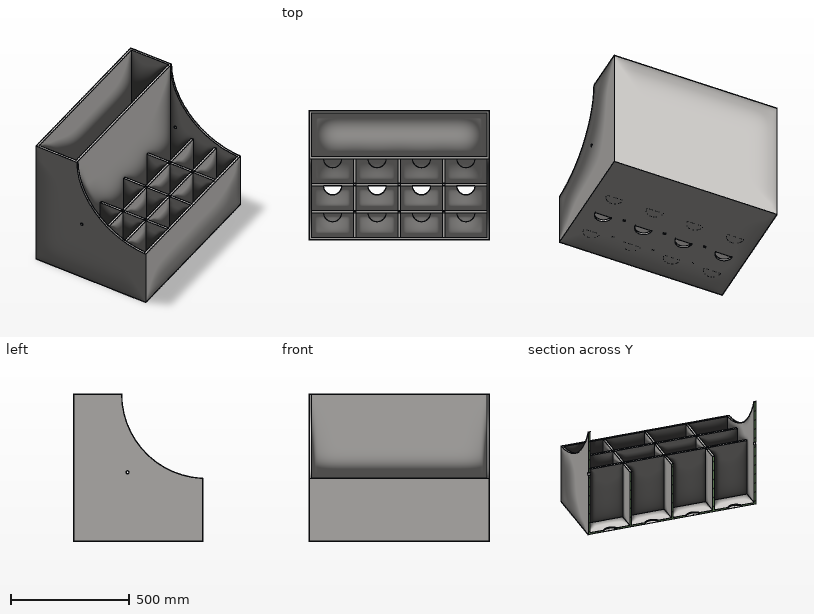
import cadquery as cq
import math

width = 762.0
depth = 546.0
height = 622.5
board = 10.0
front_height = 267.0
floor_thickness = board

bin_depth = 184.0
scoop_radius = 356.0

columns = 4
rows = 3
open_row = 1
divider_height = front_height

finger_radius = 38.0
blind_depth = floor_thickness / 2
slot_back = 6.0
slot_front = 4.0
wall_hole_diameter = 11.5
wall_hole_y = 318.5
wall_hole_z = 292.0

back_inner = depth - board
partition_back = back_inner - bin_depth
partition_front = partition_back - board
inner_width = width - 2 * board
tray_depth = partition_front - board
cell_width = (width - (columns + 1) * board) / columns
cell_depth = (tray_depth - (rows - 1) * board) / rows
column_pitch = cell_width + board
row_pitch = cell_depth + board
divider_xs = [column * column_pitch for column in range(1, columns)]
divider_ys = [row * row_pitch for row in range(1, rows)]


def block(x, y, z, dx, dy, dz):
    """Box with its lowest corner at (x, y, z)."""
    return cq.Workplane("XY").box(dx, dy, dz, centered=False).translate((x, y, z))


def scooped_body():
    """Solid block with the concave arc between the partition top and the front wall."""
    center_y = partition_front - scoop_radius
    start_angle = math.acos(-center_y / scoop_radius)
    middle_angle = start_angle / 2
    arc_middle = (
        center_y + scoop_radius * math.cos(middle_angle),
        height - scoop_radius * math.sin(middle_angle),
    )
    return (
        cq.Workplane("YZ")
        .lineTo(depth, 0)
        .lineTo(depth, height)
        .lineTo(partition_front, height)
        .threePointArc(arc_middle, (0, front_height))
        .close()
        .extrude(width)
    )


def dividers():
    """Crossing divider boards, with an open square where they meet."""
    rise = divider_height - floor_thickness
    boards = cq.Workplane("XY")
    for y in divider_ys:
        boards = boards.union(block(board, y, floor_thickness, inner_width, board, rise))
    for x in divider_xs:
        boards = boards.union(block(x, board, floor_thickness, board, tray_depth, rise))
    for x in divider_xs:
        for y in divider_ys:
            boards = boards.cut(block(x, y, floor_thickness, board, board, rise))
    return boards


def finger_cutout(column, row):
    """Half-round cutout at the rear edge of a cell; only the open row goes right through."""
    center_x = board + column * column_pitch + cell_width / 2
    rear_y = board + row * row_pitch + cell_depth
    cut_depth = floor_thickness if row == open_row else blind_depth
    return (
        cq.Workplane("XY", origin=(center_x, rear_y, floor_thickness))
        .moveTo(-finger_radius, 0)
        .threePointArc((0, -finger_radius), (finger_radius, 0))
        .close()
        .extrude(-cut_depth)
    )


result = scooped_body()
result = result.cut(block(board, partition_back, floor_thickness, inner_width, bin_depth, height))
result = result.cut(block(board, board, floor_thickness, inner_width, tray_depth, height))
result = result.union(dividers())

for column in range(columns):
    for row in range(rows):
        result = result.cut(finger_cutout(column, row))

front_divider_y, rear_divider_y = divider_ys
front_slot_y = front_divider_y + board - slot_front
rear_slot_y = rear_divider_y + board - slot_back
blind_z = floor_thickness - blind_depth
for x in divider_xs:
    result = result.cut(block(x, front_slot_y, blind_z, board, slot_front, blind_depth))
    result = result.cut(block(x, rear_slot_y, 0, board, slot_back, floor_thickness))

wall_hole = (
    cq.Workplane("YZ")
    .center(wall_hole_y, wall_hole_z)
    .circle(wall_hole_diameter / 2)
    .extrude(width)
)
result = result.cut(wall_hole)